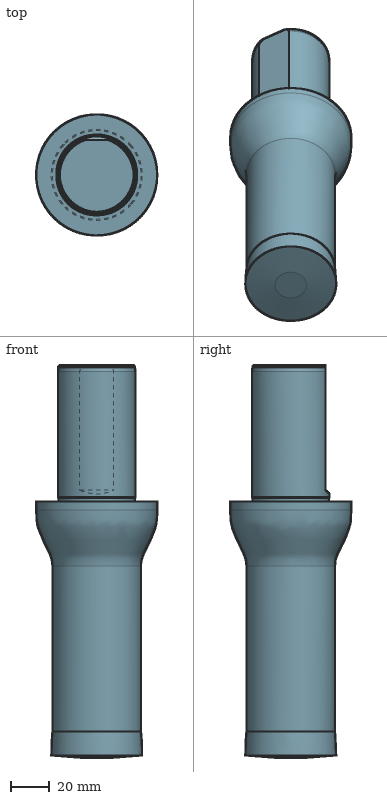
import cadquery as cq
import math

total_length = 202.0
tip_edge_z = 1.2
tip_top_z = 13.5
bowl_bottom_z = 98.8
rim_bottom_z = 127.5
flange_z = 132.0

neck_radius = 45.7 / 2
tip_radius = 46.9 / 2
nose_radius = 8.0
flange_radius = 62.5 / 2
shank_radius = 40.0 / 2
bowl_radius = 38.0

end_land_radius = 39.5 / 2
end_face_radius = 38.0 / 2
end_chamfer_height = 1.0
end_land_height = 0.8
end_taper_height = 3.2

relief_height = 2.2
relief_radius = 39.5 / 2
relief_outer_radius = 41.6 / 2
relief_depth = 0.5

flat_y = 18.0
flat_bottom_z = flange_z + 3.8
flat_ramp = shank_radius - flat_y


def make_tip():
    """Slightly barrelled cutting tip with a shallow conical lower face."""
    side_height = tip_top_z - tip_edge_z
    narrowing = tip_radius - neck_radius
    side_radius = (side_height**2 + narrowing**2) / (2 * narrowing)
    side_mid_height = side_height / 2
    side_mid_radius = tip_radius - side_radius + math.sqrt(side_radius**2 - side_mid_height**2)
    profile = (
        cq.Workplane("XZ")
        .moveTo(0, 0)
        .lineTo(nose_radius, 0)
        .lineTo(tip_radius, tip_edge_z)
        .threePointArc((side_mid_radius, tip_edge_z + side_mid_height), (neck_radius, tip_top_z))
        .lineTo(0, tip_top_z)
        .close()
    )
    return profile.revolve(360, (0, 0, 0), (0, 1, 0))


def make_turned_holder():
    """Neck, bowl-shaped flange and shank as one turned shape."""
    drop = rim_bottom_z - bowl_bottom_z
    narrowing = flange_radius - neck_radius
    radius_sum = (drop**2 + narrowing**2) / (2 * narrowing)
    sweep = math.asin(drop / radius_sum)

    def bowl_point(angle):
        return (
            flange_radius - bowl_radius * (1 - math.cos(angle)),
            rim_bottom_z - bowl_radius * math.sin(angle),
        )

    bowl_points = [bowl_point(sweep), bowl_point(sweep / 2), (flange_radius, rim_bottom_z)]
    profile = (
        cq.Workplane("XZ")
        .moveTo(0, tip_top_z)
        .lineTo(neck_radius, tip_top_z)
        .lineTo(neck_radius, bowl_bottom_z)
        .spline(bowl_points, tangents=[(0, 1), (0, 1)], includeCurrent=True)
        .lineTo(flange_radius, flange_z)
        .lineTo(relief_outer_radius, flange_z)
        .lineTo(relief_radius, flange_z - relief_depth)
        .lineTo(relief_radius, flange_z + relief_height - relief_depth)
        .lineTo(shank_radius, flange_z + relief_height)
        .lineTo(shank_radius, total_length - end_taper_height)
        .lineTo(end_land_radius, total_length - end_chamfer_height - end_land_height)
        .lineTo(end_land_radius, total_length - end_chamfer_height)
        .lineTo(end_face_radius, total_length)
        .lineTo(0, total_length)
        .close()
    )
    return profile.revolve(360, (0, 0, 0), (0, 1, 0))


def make_flat_cutter():
    """Stock removed by the shank flat, with its sloping run-out."""
    return (
        cq.Workplane("YZ")
        .moveTo(flat_y, total_length)
        .lineTo(flat_y, flat_bottom_z + flat_ramp)
        .lineTo(shank_radius, flat_bottom_z)
        .lineTo(shank_radius, total_length)
        .close()
        .extrude(shank_radius, both=True)
    )


tip = make_tip()
holder = make_turned_holder().cut(make_flat_cutter())

result = cq.Compound.makeCompound([tip.val(), holder.val()])